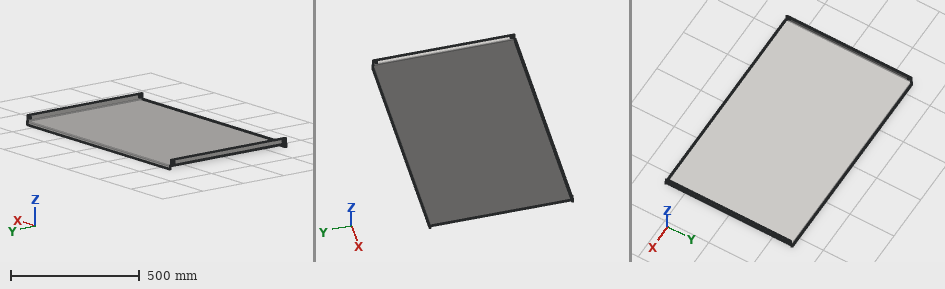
import cadquery as cq

length = 906.0
width = 575.0
height = 38.0
thickness = 2.0
side_flange_height = 25.0
inner_bend_radius = 1.0
flange_corner_radius = 5.0

fixing_width = 6.5
fixing_edge_distance = 15.5
fixing_drop = 12.0

outer_bend_radius = inner_bend_radius + thickness
front_flange_height = height - side_flange_height + thickness
side_flange_length = width - 2 * outer_bend_radius
front_flange_length = length - 2 * outer_bend_radius

fixing_y = width / 2 - fixing_edge_distance
fixing_z = side_flange_height - fixing_drop


def rounded_trough(outer_width, depth, run, radius):
    """Solid bar along Y standing on Z = 0, with its two lower edges rounded."""
    bar = cq.Workplane("XY").box(outer_width, run, depth, centered=(True, True, False))
    return bar.edges("|Y and <Z").fillet(radius)


def bent_channel(outer_width, flange_height, run):
    """U-channel along Y with its web on Z = 0 and flanges up at both X ends."""
    outer = rounded_trough(outer_width, flange_height, run, outer_bend_radius)
    inner_width = outer_width - 2 * thickness
    inner = rounded_trough(inner_width, flange_height, run, inner_bend_radius)
    channel = outer.cut(inner.translate((0, 0, thickness)))
    return channel.edges("|X and >Z").fillet(flange_corner_radius)


def side_channel():
    """Plate with upturned flanges along the two X ends."""
    return bent_channel(length, side_flange_height, side_flange_length)


def front_channel():
    """Plate with downturned flanges along the two Y sides."""
    channel = bent_channel(width, front_flange_height, front_flange_length)
    along_x = channel.rotate((0, 0, 0), (0, 0, 1), 90)
    flanges_down = along_x.rotate((0, 0, 0), (1, 0, 0), 180)
    return flanges_down.translate((0, 0, thickness))


def round_cutter(y):
    """Cylinder along X that passes through both side flanges."""
    axis_point = cq.Workplane("YZ").center(y, fixing_z)
    return axis_point.circle(fixing_width / 2).extrude(length / 2, both=True)


def slot_cutter():
    """Round-ended slot open to the -Y ends of both side flanges."""
    mouth = cq.Workplane("XY").box(length, fixing_edge_distance, fixing_width)
    mouth = mouth.translate((0, -fixing_y - fixing_edge_distance / 2, fixing_z))
    return round_cutter(-fixing_y).union(mouth)


tray = side_channel().union(front_channel())
result = tray.cut(round_cutter(fixing_y)).cut(slot_cutter())